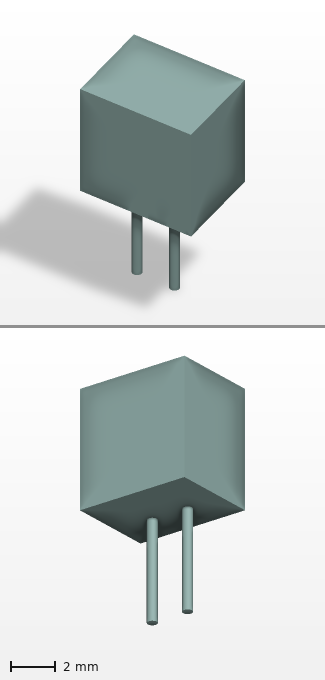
import cadquery as cq

total_height = 11.1
body_length = 5.9
body_width = 4.5
body_height = 6.0

lead_diameter = 0.5
lead_pitch = 2.0
lead_offset_y = -0.55
lead_length = total_height - body_height


def make_body():
    """Plain rectangular body standing on the Z = 0 plane."""
    return cq.Workplane("XY").box(body_length, body_width, body_height, centered=(True, True, False))


def make_lead(x):
    """Round lead hanging from the underside of the body."""
    return cq.Workplane("XY").center(x, lead_offset_y).circle(lead_diameter / 2).extrude(-lead_length)


body = make_body()
leads = [make_lead(side * lead_pitch / 2) for side in (-1, 1)]

result = cq.Compound.makeCompound([body.val(), *[lead.val() for lead in leads]])